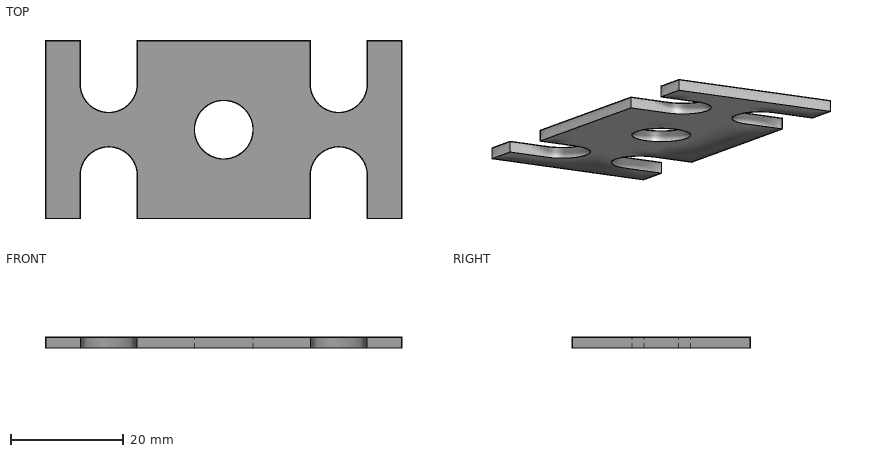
import cadquery as cq

length = 63.5
width = 31.75
thickness = 2.0

hole_diameter = 10.4

slot_width = 10.15
end_arm_width = 6.15
slot_web = 6.15

slot_radius = slot_width / 2
slot_x = length / 2 - end_arm_width - slot_radius
arc_center_y = slot_web / 2 + slot_radius


def edge_slot(x_side, y_side):
    """Cutter for one slot, running from its round end out through the long edge."""
    x = x_side * slot_x
    arc_y = y_side * arc_center_y
    edge_y = y_side * width / 2
    return (
        cq.Workplane("XY")
        .moveTo(x - slot_radius, edge_y)
        .lineTo(x - slot_radius, arc_y)
        .threePointArc((x, y_side * slot_web / 2), (x + slot_radius, arc_y))
        .lineTo(x + slot_radius, edge_y)
        .close()
        .extrude(thickness)
    )


plate = cq.Workplane("XY").box(length, width, thickness, centered=(True, True, False))
plate = plate.faces(">Z").workplane().hole(hole_diameter)

for x_side in (-1, 1):
    for y_side in (-1, 1):
        plate = plate.cut(edge_slot(x_side, y_side))

result = plate